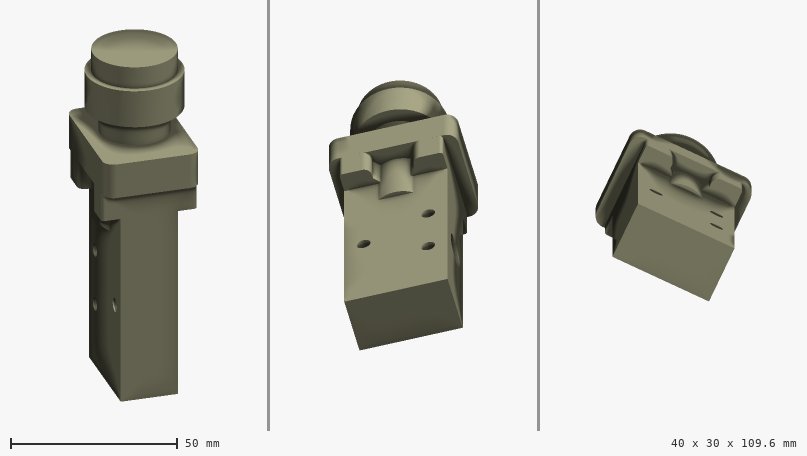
import cadquery as cq

body_width = 32.0
body_depth = 18.0
base_height = 7.0
valve_height = 45.0
neck_height = 9.0

core_diameter = 21.0

bracket_depth = 30.0
bracket_height = 9.2
bracket_corner_radius = 1.0
notch_half_width = 6.5
notch_mouth_radius = 2.4
notch_wall_end_y = 11.3

cap_width = 40.0
cap_depth = 30.02
cap_height = 11.2
cap_corner_radius = 3.5

mount_hole_diameter = 4.25
mount_hole_x = 10.0
mount_hole_spacing_z = 18.0

port_diameter = 8.6
port_mouth_diameter = 10.2
port_depth = 10.0

button_gap = 1.2
button_offset_x = 1.0
stem_diameter = 21.7
stem_height = 8.0
collar_diameter = 30.0
collar_height = 12.0
head_diameter = 26.0
head_height = 7.0

valve_mid_z = base_height + valve_height / 2
neck_z = base_height + valve_height
bracket_z = neck_z + neck_height
cap_z = bracket_z + bracket_height
button_z = cap_z + cap_height + button_gap


def rounded_plate(width, depth, height, corner_radius, bottom_z):
    """Rectangular plate centred on the Z axis, with rounded vertical edges."""
    return (
        cq.Workplane("XY", origin=(0, 0, bottom_z))
        .rect(width, depth)
        .extrude(height)
        .edges("|Z")
        .fillet(corner_radius)
    )


def make_notch():
    """Cutter for the front notch: round mouth, straight walls, then 45 degree flanks."""
    front_y = -bracket_depth / 2
    floor_y = -body_depth / 2
    mouth_half_width = notch_half_width + notch_mouth_radius
    arc_end_y = front_y + notch_mouth_radius
    floor_half_width = notch_half_width - (floor_y + notch_wall_end_y)
    return (
        cq.Workplane("XY", origin=(0, 0, bracket_z))
        .moveTo(-mouth_half_width, front_y)
        .radiusArc((-notch_half_width, arc_end_y), -notch_mouth_radius)
        .lineTo(-notch_half_width, -notch_wall_end_y)
        .lineTo(-floor_half_width, floor_y)
        .lineTo(floor_half_width, floor_y)
        .lineTo(notch_half_width, -notch_wall_end_y)
        .lineTo(notch_half_width, arc_end_y)
        .radiusArc((mouth_half_width, front_y), -notch_mouth_radius)
        .close()
        .extrude(bracket_height)
    )


def make_bracket():
    """Bracket with matching notches at the front and back."""
    bracket = rounded_plate(body_width, bracket_depth, bracket_height, bracket_corner_radius, bracket_z)
    notch = make_notch()
    return bracket.cut(notch).cut(notch.mirror("XZ"))


def make_mount_holes():
    """Cutters for two holes on the -X side and one midway up on the +X side."""
    half_spacing = mount_hole_spacing_z / 2
    return (
        cq.Workplane("XZ", origin=(0, 0, valve_mid_z))
        .pushPoints([(-mount_hole_x, half_spacing), (-mount_hole_x, -half_spacing), (mount_hole_x, 0)])
        .circle(mount_hole_diameter / 2)
        .extrude(body_depth / 2, both=True)
    )


def make_port():
    """Cutter for the blind air port with a 45 degree chamfer at its mouth."""
    mouth_chamfer = (port_mouth_diameter - port_diameter) / 2
    mouth = cq.Workplane("YZ", origin=(-body_width / 2, 0, valve_mid_z))
    bore = mouth.circle(port_diameter / 2).extrude(port_depth)
    chamfer = (
        mouth.circle(port_mouth_diameter / 2)
        .workplane(offset=mouth_chamfer)
        .circle(port_diameter / 2)
        .loft()
    )
    return bore.union(chamfer)


def make_valve():
    """Block, core, bracket and cap as one solid, with its holes."""
    block = cq.Workplane("XY").rect(body_width, body_depth).extrude(cap_z)
    core = (
        cq.Workplane("XY", origin=(0, 0, neck_z))
        .circle(core_diameter / 2)
        .extrude(neck_height + bracket_height)
    )
    cap = rounded_plate(cap_width, cap_depth, cap_height, cap_corner_radius, cap_z)
    solid = block.union(make_bracket()).union(core).union(cap)
    return solid.cut(make_mount_holes()).cut(make_port())


def make_button():
    """Turned push button: stem, wide collar and round head."""
    return (
        cq.Workplane("XY", origin=(button_offset_x, 0, button_z))
        .circle(stem_diameter / 2)
        .extrude(stem_height)
        .faces(">Z")
        .workplane()
        .circle(collar_diameter / 2)
        .extrude(collar_height)
        .faces(">Z")
        .workplane()
        .circle(head_diameter / 2)
        .extrude(head_height)
    )


valve = make_valve()
button = make_button()

result = cq.Compound.makeCompound([valve.val(), button.val()])